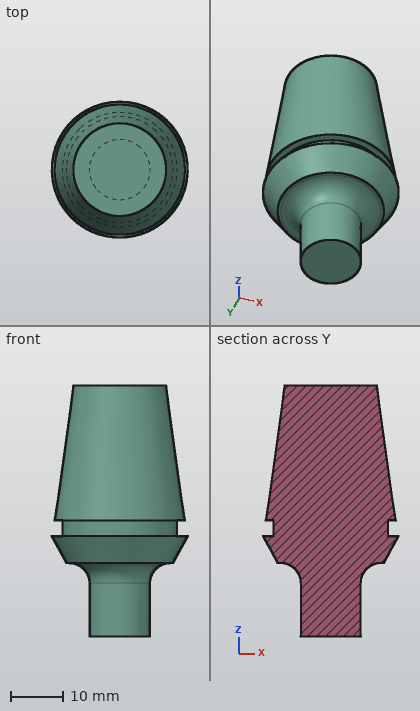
import cadquery as cq
import math

shank_radius = 11.6 / 2
fillet_radius = 3.8
collar_bottom_radius = 10.2
collar_top_radius = 26.1 / 2
neck_radius = 22.0 / 2
head_bottom_radius = 25.0 / 2
head_top_radius = 17.8 / 2

overall_height = 48.2
shank_length = 10.3
collar_height = 5.2
neck_height = 3.0

fillet_top_z = shank_length + fillet_radius
collar_top_z = fillet_top_z + collar_height
neck_top_z = collar_top_z + neck_height

fillet_center_radius = shank_radius + fillet_radius
fillet_offset = fillet_radius * math.cos(math.radians(45))
fillet_middle = (fillet_center_radius - fillet_offset, shank_length + fillet_offset)


def half_profile():
    """Half section in the YZ plane, from the bottom of the shank to the top of the head."""
    return (
        cq.Workplane("YZ")
        .lineTo(shank_radius, 0)
        .lineTo(shank_radius, shank_length)
        .threePointArc(fillet_middle, (fillet_center_radius, fillet_top_z))
        .lineTo(collar_bottom_radius, fillet_top_z)
        .lineTo(collar_top_radius, collar_top_z)
        .lineTo(neck_radius, collar_top_z)
        .lineTo(neck_radius, neck_top_z)
        .lineTo(head_bottom_radius, neck_top_z)
        .lineTo(head_top_radius, overall_height)
        .lineTo(0, overall_height)
        .close()
    )


result = half_profile().revolve(360, (0, 0, 0), (0, 1, 0))